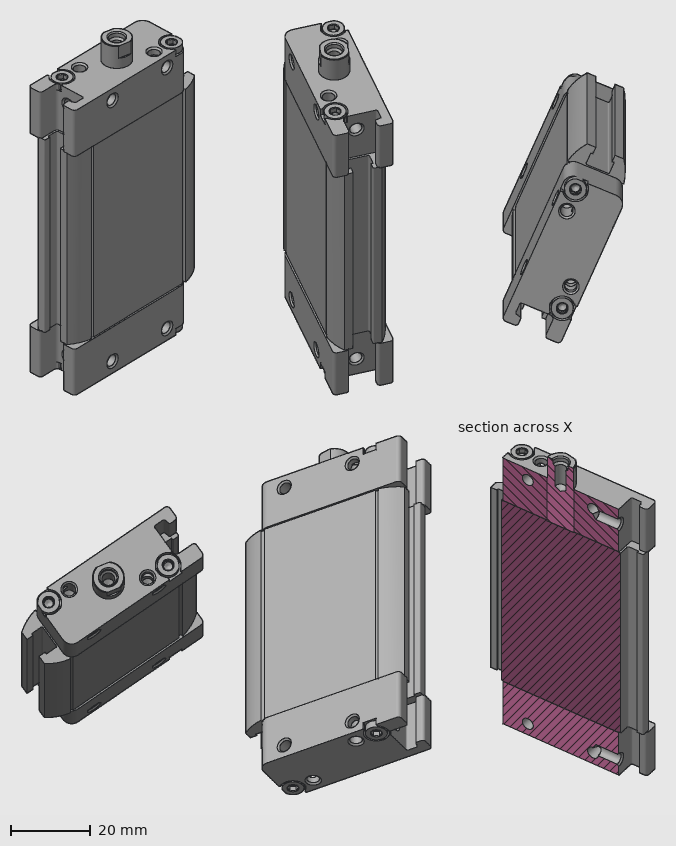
import cadquery as cq
import math

TOTAL_HEIGHT = 94.0
CAP_HEIGHT = 14.1
ROD_PROTRUSION = 6.9
CAP_TOP = TOTAL_HEIGHT - ROD_PROTRUSION
BARREL_LENGTH = CAP_TOP - 2 * CAP_HEIGHT

EDGE_REACH = 0.05

CAP_WIDTH = 16.0
CAP_FRONT_Y = -23.9
CAP_BACK_Y = 17.7
CAP_FRONT_RADIUS = 1.0
CAP_BACK_RADIUS = 2.7

CAP_SLOT_HALF_WIDTH = 3.8
CAP_SLOT_FLOOR_Y = -17.9
CAP_SLOT_FLOOR_RADIUS = 1.1
CAP_LIP_RADIUS = 0.8
UNDERCUT_X = 5.5
UNDERCUT_FRONT_Y = -21.0
UNDERCUT_LIP_Y = -21.4
UNDERCUT_CORNER_RADIUS = 0.5

TAP_DRILL_DIAMETER = 3.2
TAP_MOUTH_DIAMETER = 4.1
DRILL_POINT_ANGLE = 118.0
SIDE_HOLE_Y = 10.0
SIDE_HOLE_INSET = 3.7
PORT_INSET = 5.1
PORT_DEPTH = 7.05
END_HOLE_X = 4.4
END_HOLE_Y = 8.9
END_HOLE_DEPTH = 7.5

SCREW_X = 4.7
SCREW_Y = 15.0
SCREW_HEAD_DIAMETER = 5.5
SCREW_RECESS_DIAMETER = 6.5
SCREW_HEAD_HEIGHT = 2.0
SIDE_WINDOW_WIDTH = 3.8
END_WINDOW_REACH = 2.35
SOCKET_ACROSS_FLATS = 2.5
SOCKET_MOUTH_DIAMETER = 3.0
SOCKET_DEPTH = 1.5
SOCKET_DRILL_DIAMETER = 2.3

BARREL_MIDDLE_Y = -0.2
BARREL_HALF_DEPTH = 23.3
SHOULDER_HALF_WIDTH = 7.7
PANEL_HALF_WIDTH = 7.5
BARREL_TIP_X = 5.0
SHOULDER_START_Y = 17.2
SHOULDER_BULGE = 0.4
GROOVE_Y = 16.7
GROOVE_RADIUS = SHOULDER_START_Y - GROOVE_Y
BARREL_LIP_HALF_GAP = 2.6
BARREL_LIP_THICKNESS = 1.9
BARREL_SLOT_HALF_WIDTH = 3.2
BARREL_SLOT_DEPTH = 5.1
BARREL_FLOOR_RADIUS = 0.4
BARREL_LIP_RADIUS = 0.4

ROD_DIAMETER = 8.0
ROD_ACROSS_FLATS = 7.05
ROD_FLAT_LENGTH = 3.8
ROD_FLAT_TURN = -12.0
ROD_TOP_CHAMFER = 0.2
ROD_MOUTH_DIAMETER = 5.0
ROD_THREAD_DIAMETER = 4.3
ROD_THREAD_DEPTH = 1.5
ROD_DRILL_DIAMETER = 3.2
ROD_DRILL_DEPTH = 8.5


def drill(mouth, direction, diameter, depth):
    """Blind drilled hole with a conical bottom, as a cutting tool."""
    point_height = diameter / 2 / math.tan(math.radians(DRILL_POINT_ANGLE / 2))
    shank = cq.Solid.makeCylinder(diameter / 2, depth, mouth, direction)
    point = cq.Solid.makeCone(diameter / 2, 0, point_height, mouth + direction * depth, direction)
    return shank.fuse(point)


def mouth_chamfer(mouth, direction, outer_diameter, inner_diameter):
    """45 degree countersink from the outer down to the inner diameter, as a cutting tool."""
    depth = (outer_diameter - inner_diameter) / 2
    return cq.Solid.makeCone(outer_diameter / 2, inner_diameter / 2, depth, mouth, direction)


def tapped_hole(mouth, direction, depth):
    """Blind drilled hole with a countersunk mouth, as a cutting tool."""
    hole = drill(mouth, direction, TAP_DRILL_DIAMETER, depth)
    return hole.fuse(mouth_chamfer(mouth, direction, TAP_MOUTH_DIAMETER, TAP_DRILL_DIAMETER))


def cap_blank():
    """Cap block with rounded vertical corners."""
    depth = CAP_BACK_Y - CAP_FRONT_Y
    blank = cq.Workplane("XY").box(CAP_WIDTH, depth, CAP_HEIGHT, centered=(True, False, False))
    blank = blank.translate((0, CAP_FRONT_Y, 0))
    blank = blank.edges("|Z and >Y").fillet(CAP_BACK_RADIUS)
    return blank.edges("|Z and <Y").fillet(CAP_FRONT_RADIUS)


def round_vertical_edge(body, x, y, radius):
    """Fillet the vertical edge that stands at the given point."""
    box = cq.selectors.BoxSelector(
        (x - EDGE_REACH, y - EDGE_REACH, -TOTAL_HEIGHT),
        (x + EDGE_REACH, y + EDGE_REACH, TOTAL_HEIGHT),
    )
    return body.edges("|Z").edges(box).fillet(radius)


def cut_cap_slot(cap):
    """Front slot: straight on the left, undercut behind the right lip."""
    slot = (
        cq.Workplane("XY")
        .moveTo(-CAP_SLOT_HALF_WIDTH, CAP_FRONT_Y)
        .lineTo(-CAP_SLOT_HALF_WIDTH, CAP_SLOT_FLOOR_Y)
        .lineTo(UNDERCUT_X, CAP_SLOT_FLOOR_Y)
        .lineTo(UNDERCUT_X, UNDERCUT_FRONT_Y)
        .lineTo(CAP_SLOT_HALF_WIDTH, UNDERCUT_LIP_Y)
        .lineTo(CAP_SLOT_HALF_WIDTH, CAP_FRONT_Y)
        .close()
        .extrude(CAP_HEIGHT)
    )
    cap = cap.cut(slot)
    rounded_edges = [
        (-CAP_SLOT_HALF_WIDTH, CAP_FRONT_Y, CAP_LIP_RADIUS),
        (CAP_SLOT_HALF_WIDTH, CAP_FRONT_Y, CAP_LIP_RADIUS),
        (-CAP_SLOT_HALF_WIDTH, CAP_SLOT_FLOOR_Y, CAP_SLOT_FLOOR_RADIUS),
        (UNDERCUT_X, CAP_SLOT_FLOOR_Y, UNDERCUT_CORNER_RADIUS),
        (UNDERCUT_X, UNDERCUT_FRONT_Y, UNDERCUT_CORNER_RADIUS),
        (CAP_SLOT_HALF_WIDTH, UNDERCUT_LIP_Y, UNDERCUT_CORNER_RADIUS),
    ]
    for x, y, radius in rounded_edges:
        cap = round_vertical_edge(cap, x, y, radius)
    return cap


def cut_side_holes(cap):
    """Two through holes along X, countersunk at both ends."""
    z = CAP_HEIGHT - SIDE_HOLE_INSET
    right = cq.Vector(1, 0, 0)
    left = cq.Vector(-1, 0, 0)
    for y in (-SIDE_HOLE_Y, SIDE_HOLE_Y):
        left_mouth = cq.Vector(-CAP_WIDTH / 2, y, z)
        right_mouth = cq.Vector(CAP_WIDTH / 2, y, z)
        hole = cq.Solid.makeCylinder(TAP_DRILL_DIAMETER / 2, CAP_WIDTH, left_mouth, right)
        left_chamfer = mouth_chamfer(left_mouth, right, TAP_MOUTH_DIAMETER, TAP_DRILL_DIAMETER)
        right_chamfer = mouth_chamfer(right_mouth, left, TAP_MOUTH_DIAMETER, TAP_DRILL_DIAMETER)
        for tool in (hole, left_chamfer, right_chamfer):
            cap = cap.cut(cq.Workplane(tool))
    return cap


def cut_port(cap):
    """Air port in the slot floor; it breaks into the front side hole."""
    mouth = cq.Vector(0, CAP_SLOT_FLOOR_Y, CAP_HEIGHT - PORT_INSET)
    return cap.cut(cq.Workplane(tapped_hole(mouth, cq.Vector(0, 1, 0), PORT_DEPTH)))


def cut_end_holes(cap):
    """Two blind mounting holes in the outer end face, opposite each other across the rod axis."""
    for sign in (-1, 1):
        mouth = cq.Vector(sign * END_HOLE_X, sign * END_HOLE_Y, CAP_HEIGHT)
        cap = cap.cut(cq.Workplane(tapped_hole(mouth, cq.Vector(0, 0, -1), END_HOLE_DEPTH)))
    return cap


def screw_recess(sign, end_distance):
    """Ring gap around a screw head, open to the nearest side wall and to the nearest end wall."""
    x = sign * SCREW_X
    y = sign * SCREW_Y
    side_distance = CAP_WIDTH / 2 - SCREW_X
    plane = cq.Workplane("XY", origin=(x, y, CAP_HEIGHT - SCREW_HEAD_HEIGHT))
    recess = plane.circle(SCREW_RECESS_DIAMETER / 2).extrude(SCREW_HEAD_HEIGHT)
    side_window = (
        plane.center(sign * side_distance / 2, 0)
        .rect(side_distance, SIDE_WINDOW_WIDTH)
        .extrude(SCREW_HEAD_HEIGHT)
    )
    end_window = (
        plane.center(-sign * END_WINDOW_REACH / 2, sign * end_distance / 2)
        .rect(END_WINDOW_REACH, end_distance)
        .extrude(SCREW_HEAD_HEIGHT)
    )
    head = plane.circle(SCREW_HEAD_DIAMETER / 2).extrude(SCREW_HEAD_HEIGHT)
    return recess.union(side_window).union(end_window).cut(head)


def screw_socket(sign):
    """Countersunk hexagon socket with a drilled, pointed core."""
    x = sign * SCREW_X
    y = sign * SCREW_Y
    corner_diameter = SOCKET_ACROSS_FLATS / math.cos(math.pi / 6)
    hexagon = (
        cq.Workplane("XY", origin=(x, y, CAP_HEIGHT - SOCKET_DEPTH))
        .polygon(6, corner_diameter)
        .extrude(SOCKET_DEPTH)
    )
    mouth = cq.Vector(x, y, CAP_HEIGHT)
    down = cq.Vector(0, 0, -1)
    core = drill(mouth, down, SOCKET_DRILL_DIAMETER, SOCKET_DEPTH)
    chamfer = mouth_chamfer(mouth, down, SOCKET_MOUTH_DIAMETER, SOCKET_ACROSS_FLATS)
    return hexagon.union(cq.Workplane(core)).union(cq.Workplane(chamfer))


def cut_screws(cap):
    """One screw by the front slot on the left, one by the back wall on the right."""
    front_distance = CAP_SLOT_FLOOR_Y + SCREW_Y
    back_distance = CAP_BACK_Y - SCREW_Y
    for sign, end_distance in ((-1, -front_distance), (1, back_distance)):
        cap = cap.cut(screw_recess(sign, end_distance)).cut(screw_socket(sign))
    return cap


def make_end_cap():
    """Cap with its outer end at z = CAP_HEIGHT and its barrel end at z = 0."""
    cap = cut_cap_slot(cap_blank())
    cap = cut_side_holes(cap)
    cap = cut_port(cap)
    cap = cut_end_holes(cap)
    return cut_screws(cap)


def make_upper_cap():
    """End cap with a through hole that guides the rod."""
    rod_hole = cq.Workplane("XY").circle(ROD_DIAMETER / 2).extrude(CAP_HEIGHT)
    return make_end_cap().cut(rod_hole).translate((0, 0, CAP_TOP - CAP_HEIGHT))


def make_lower_cap():
    """End cap turned over so that its outer end stands on z = 0."""
    return make_end_cap().mirror("XY").translate((0, 0, CAP_HEIGHT))


def barrel_slot(end):
    """T-shaped slot at one end of the barrel: end is -1 for the front, 1 for the back."""
    neck_y = end * (BARREL_HALF_DEPTH - BARREL_LIP_THICKNESS / 2)
    neck = (
        cq.Workplane("XY")
        .center(0, neck_y)
        .rect(2 * BARREL_LIP_HALF_GAP, BARREL_LIP_THICKNESS)
        .extrude(BARREL_LENGTH)
    )
    chamber_depth = BARREL_SLOT_DEPTH - BARREL_LIP_THICKNESS
    chamber_y = end * (BARREL_HALF_DEPTH - BARREL_LIP_THICKNESS - chamber_depth / 2)
    chamber = (
        cq.Workplane("XY")
        .center(0, chamber_y)
        .rect(2 * BARREL_SLOT_HALF_WIDTH, chamber_depth)
        .extrude(BARREL_LENGTH)
    )
    return neck.union(chamber)


def make_barrel():
    """Extruded barrel with arched shoulders, corner grooves and a slot at each end."""
    chord_x = SHOULDER_HALF_WIDTH - BARREL_TIP_X
    chord_y = BARREL_HALF_DEPTH - SHOULDER_START_Y
    chord = math.hypot(chord_x, chord_y)
    arc_x = (SHOULDER_HALF_WIDTH + BARREL_TIP_X) / 2 + SHOULDER_BULGE * chord_y / chord
    arc_y = (BARREL_HALF_DEPTH + SHOULDER_START_Y) / 2 + SHOULDER_BULGE * chord_x / chord
    barrel = (
        cq.Workplane("XY")
        .moveTo(-BARREL_TIP_X, -BARREL_HALF_DEPTH)
        .lineTo(BARREL_TIP_X, -BARREL_HALF_DEPTH)
        .threePointArc((arc_x, -arc_y), (SHOULDER_HALF_WIDTH, -SHOULDER_START_Y))
        .lineTo(PANEL_HALF_WIDTH, -SHOULDER_START_Y)
        .lineTo(PANEL_HALF_WIDTH, SHOULDER_START_Y)
        .lineTo(SHOULDER_HALF_WIDTH, SHOULDER_START_Y)
        .threePointArc((arc_x, arc_y), (BARREL_TIP_X, BARREL_HALF_DEPTH))
        .lineTo(-BARREL_TIP_X, BARREL_HALF_DEPTH)
        .threePointArc((-arc_x, arc_y), (-SHOULDER_HALF_WIDTH, SHOULDER_START_Y))
        .lineTo(-PANEL_HALF_WIDTH, SHOULDER_START_Y)
        .lineTo(-PANEL_HALF_WIDTH, -SHOULDER_START_Y)
        .lineTo(-SHOULDER_HALF_WIDTH, -SHOULDER_START_Y)
        .threePointArc((-arc_x, -arc_y), (-BARREL_TIP_X, -BARREL_HALF_DEPTH))
        .close()
        .extrude(BARREL_LENGTH)
    )
    grooves = (
        cq.Workplane("XY")
        .rect(2 * PANEL_HALF_WIDTH, 2 * GROOVE_Y, forConstruction=True)
        .vertices()
        .circle(GROOVE_RADIUS)
        .extrude(BARREL_LENGTH)
    )
    barrel = barrel.cut(grooves).cut(barrel_slot(1)).cut(barrel_slot(-1))
    for lip_x in (-BARREL_LIP_HALF_GAP, BARREL_LIP_HALF_GAP):
        barrel = round_vertical_edge(barrel, lip_x, -BARREL_HALF_DEPTH, BARREL_LIP_RADIUS)
    for wall_x in (-BARREL_SLOT_HALF_WIDTH, BARREL_SLOT_HALF_WIDTH):
        for end in (-1, 1):
            floor_y = end * (BARREL_HALF_DEPTH - BARREL_SLOT_DEPTH)
            barrel = round_vertical_edge(barrel, wall_x, floor_y, BARREL_FLOOR_RADIUS)
    return barrel.translate((0, BARREL_MIDDLE_Y, CAP_HEIGHT))


def make_rod():
    """Rod from the barrel face to the top, with two wrench flats and a threaded bore."""
    rod_length = CAP_HEIGHT + ROD_PROTRUSION
    rod = (
        cq.Workplane("XY", origin=(0, 0, TOTAL_HEIGHT - rod_length))
        .circle(ROD_DIAMETER / 2)
        .extrude(rod_length)
        .faces(">Z")
        .chamfer(ROD_TOP_CHAMFER)
    )
    waste = (
        cq.Workplane("XY", origin=(0, 0, TOTAL_HEIGHT - ROD_FLAT_LENGTH))
        .rect(2 * ROD_DIAMETER, 2 * ROD_DIAMETER)
        .rect(ROD_ACROSS_FLATS, 2 * ROD_DIAMETER)
        .extrude(ROD_FLAT_LENGTH)
        .rotate((0, 0, 0), (0, 0, 1), ROD_FLAT_TURN)
    )
    rod = rod.cut(waste)
    mouth = cq.Vector(0, 0, TOTAL_HEIGHT)
    down = cq.Vector(0, 0, -1)
    thread = cq.Solid.makeCylinder(ROD_THREAD_DIAMETER / 2, ROD_THREAD_DEPTH, mouth, down)
    chamfer = mouth_chamfer(mouth, down, ROD_MOUTH_DIAMETER, ROD_THREAD_DIAMETER)
    step_mouth = mouth + down * ROD_THREAD_DEPTH
    step = mouth_chamfer(step_mouth, down, ROD_THREAD_DIAMETER, ROD_DRILL_DIAMETER)
    core = drill(mouth, down, ROD_DRILL_DIAMETER, ROD_DRILL_DEPTH)
    for tool in (chamfer, thread, step, core):
        rod = rod.cut(cq.Workplane(tool))
    return rod


lower_cap = make_lower_cap()
upper_cap = make_upper_cap()
barrel = make_barrel()
rod = make_rod()

result = cq.Compound.makeCompound([lower_cap.val(), upper_cap.val(), barrel.val(), rod.val()])